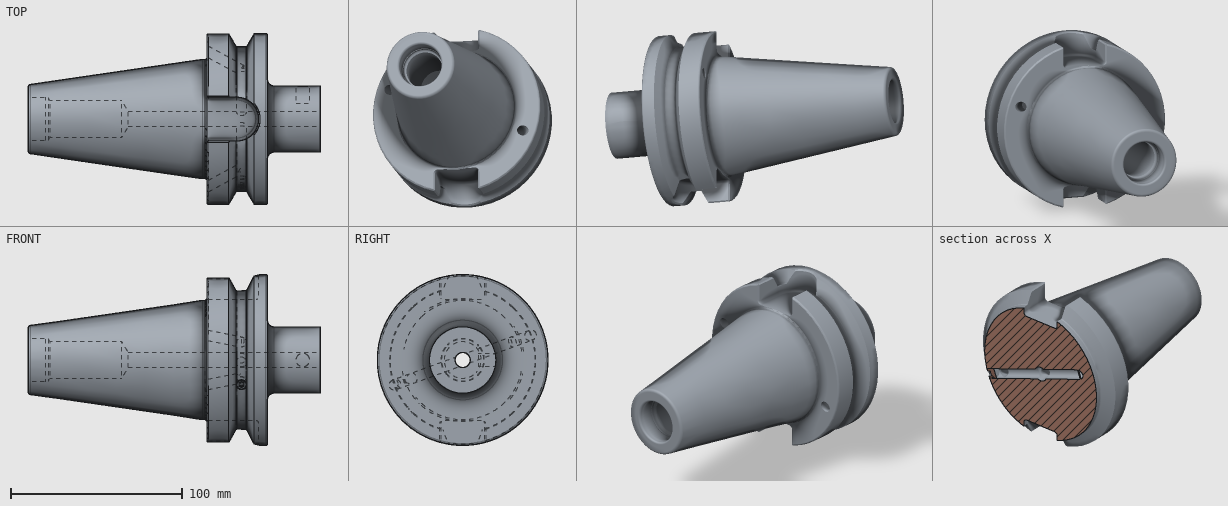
import cadquery as cq
import math

TOTAL_LENGTH = 170.8

GAUGE_X = 101.8
GAUGE_RADIUS = 34.93
TAPER_PER_LENGTH = 7 / 24
TAPER_END_FILLET = 1.7

FLANGE_RADIUS = 49.96
FLANGE_START_X = 104.5
FLANGE_END_X = 139.9
FLANGE_EDGE_ROUND = 1.0
FLANGE_NECK_FILLET = 1.0
GROOVE_FLOOR_RADIUS = 42.4
GROOVE_FLOOR_WIDTH = 6.1
GROOVE_CENTRE_X = 124.7
GROOVE_FLANK_ANGLE = 30.0
GROOVE_FILLET = 0.7

SPIGOT_RADIUS = 19.39
SPIGOT_FILLET = 4.0

PILOT_RADIUS = 12.6
PILOT_DEPTH = 10.2
MOUTH_ROUND = 1.2
RECESS_RADIUS = 12.3
RECESS_LENGTH = 1.5
COUNTERSINK_ANGLE = 120.0
THREAD_RADIUS = 10.8
THREAD_END_X = 54.7
DRILL_POINT_ANGLE = 118.0
COOLANT_BORE_RADIUS = 4.35

SLOT_WIDTH = 25.6
SLOT_END_CENTRE_X = 122.0
SLOT_FLOOR_HEIGHT = 35.4
SLOT_FLOOR_FILLET = 1.7
SLOT_EDGE_CHAMFER = 0.9

OPEN_CHANNEL_ANGLE = 200.0
CLOSED_CHANNEL_ANGLE = OPEN_CHANNEL_ANGLE - 180
CHANNEL_RADIUS = 2.99
INLET_TILT = 30.0
INLET_START_RADIUS = 42.2
INLET_LEAD = 5.1
INLET_RUN = GROOVE_CENTRE_X - FLANGE_START_X
INLET_LENGTH = INLET_RUN / math.cos(math.radians(INLET_TILT))
INLET_END_RADIUS = INLET_START_RADIUS - INLET_RUN * math.tan(math.radians(INLET_TILT))
PLUG_LENGTH = 6.0
PLUG_SINK = 0.2
PLUG_CHAMFER = 0.3
SOCKET_ACROSS_FLATS = 3.0
SOCKET_DEPTH = 2.0

CLAMP_X = 160.5
CLAMP_RADIUS = 4.0
CLAMP_LENGTH = 10.2


def revolve_about_x(profile):
    """Turn an XY profile once around the X axis."""
    return profile.close().revolve(360, (0, 0, 0), (1, 0, 0))


def turned_blank():
    """Taper shank, grooved flange and spigot as one turned shape."""
    small_end_radius = GAUGE_RADIUS - GAUGE_X * TAPER_PER_LENGTH / 2
    groove_depth = FLANGE_RADIUS - GROOVE_FLOOR_RADIUS
    flank_length = groove_depth * math.tan(math.radians(GROOVE_FLANK_ANGLE))
    floor_start_x = GROOVE_CENTRE_X - GROOVE_FLOOR_WIDTH / 2
    floor_end_x = GROOVE_CENTRE_X + GROOVE_FLOOR_WIDTH / 2

    blank = revolve_about_x(
        cq.Workplane("XY")
        .moveTo(0, 0)
        .lineTo(0, small_end_radius)
        .lineTo(GAUGE_X, GAUGE_RADIUS)
        .lineTo(FLANGE_START_X, GAUGE_RADIUS)
        .lineTo(FLANGE_START_X, FLANGE_RADIUS)
        .lineTo(floor_start_x - flank_length, FLANGE_RADIUS)
        .lineTo(floor_start_x, GROOVE_FLOOR_RADIUS)
        .lineTo(floor_end_x, GROOVE_FLOOR_RADIUS)
        .lineTo(floor_end_x + flank_length, FLANGE_RADIUS)
        .lineTo(FLANGE_END_X, FLANGE_RADIUS)
        .lineTo(FLANGE_END_X, SPIGOT_RADIUS)
        .lineTo(TOTAL_LENGTH, SPIGOT_RADIUS)
        .lineTo(TOTAL_LENGTH, 0)
    )

    def outer_ring(x, radius):
        """The circle of this radius on the blank at this place along the axis."""
        reach = 0.09
        size = radius + reach
        rings = cq.selectors.BoxSelector(
            (x - reach, -size, -size), (x + reach, size, size), boundingbox=True
        )
        return blank.edges(rings).edges(cq.selectors.RadiusNthSelector(-1))

    blank = outer_ring(0, small_end_radius).fillet(TAPER_END_FILLET)
    blank = outer_ring(FLANGE_START_X, GAUGE_RADIUS).fillet(FLANGE_NECK_FILLET)
    blank = outer_ring(floor_start_x, GROOVE_FLOOR_RADIUS).fillet(GROOVE_FILLET)
    blank = outer_ring(floor_end_x, GROOVE_FLOOR_RADIUS).fillet(GROOVE_FILLET)
    blank = outer_ring(FLANGE_END_X, FLANGE_RADIUS).fillet(FLANGE_EDGE_ROUND)
    blank = outer_ring(FLANGE_END_X, SPIGOT_RADIUS).fillet(SPIGOT_FILLET)
    return blank


def axial_bore():
    """Round-mouthed pilot, threaded length with a drill point, and coolant bore."""
    half_point = math.radians(DRILL_POINT_ANGLE / 2)
    half_countersink = math.radians(COUNTERSINK_ANGLE / 2)
    point_length = (THREAD_RADIUS - COOLANT_BORE_RADIUS) / math.tan(half_point)
    countersink_length = (RECESS_RADIUS - THREAD_RADIUS) / math.tan(half_countersink)
    recess_end_x = PILOT_DEPTH + RECESS_LENGTH
    round_offset = MOUTH_ROUND * (1 - math.sqrt(0.5))
    return revolve_about_x(
        cq.Workplane("XY")
        .moveTo(0, 0)
        .lineTo(0, PILOT_RADIUS + MOUTH_ROUND)
        .threePointArc(
            (round_offset, PILOT_RADIUS + round_offset),
            (MOUTH_ROUND, PILOT_RADIUS),
        )
        .lineTo(PILOT_DEPTH, PILOT_RADIUS)
        .lineTo(PILOT_DEPTH, RECESS_RADIUS)
        .lineTo(recess_end_x, RECESS_RADIUS)
        .lineTo(recess_end_x + countersink_length, THREAD_RADIUS)
        .lineTo(THREAD_END_X, THREAD_RADIUS)
        .lineTo(THREAD_END_X + point_length, COOLANT_BORE_RADIUS)
        .lineTo(TOTAL_LENGTH, COOLANT_BORE_RADIUS)
        .lineTo(TOTAL_LENGTH, 0)
    )


def drive_slot():
    """Cutter for the +Z drive slot: open at the flange face, round at its far end."""
    open_end_x = FLANGE_START_X
    slot_height = FLANGE_RADIUS + 1.7 - SLOT_FLOOR_HEIGHT
    straight_length = SLOT_END_CENTRE_X - open_end_x
    slot = (
        cq.Workplane("XY", origin=(open_end_x, 0, SLOT_FLOOR_HEIGHT))
        .moveTo(0, -SLOT_WIDTH / 2)
        .lineTo(straight_length, -SLOT_WIDTH / 2)
        .threePointArc(
            (straight_length + SLOT_WIDTH / 2, 0),
            (straight_length, SLOT_WIDTH / 2),
        )
        .lineTo(0, SLOT_WIDTH / 2)
        .close()
        .extrude(slot_height)
    )
    return slot.edges("<Z").edges("not <X").fillet(SLOT_FLOOR_FILLET)


def front_edge_ring():
    """Ring cutter that leaves the front edge of the flange rounded."""
    margin = 1.7
    front_x = FLANGE_START_X - margin
    outer_radius = FLANGE_RADIUS + margin
    round_start_radius = FLANGE_RADIUS - FLANGE_EDGE_ROUND
    round_end_x = FLANGE_START_X + FLANGE_EDGE_ROUND
    return revolve_about_x(
        cq.Workplane("XY")
        .moveTo(front_x, round_start_radius)
        .lineTo(FLANGE_START_X, round_start_radius)
        .radiusArc((round_end_x, FLANGE_RADIUS), FLANGE_EDGE_ROUND)
        .lineTo(round_end_x, outer_radius)
        .lineTo(front_x, outer_radius)
    )


def slot_section(x, width, corner_radius):
    """Closed wire across the axis: the slot floor with its rounded corners and walls."""
    half_width = width / 2
    top_height = FLANGE_RADIUS + 1.7
    corner_height = SLOT_FLOOR_HEIGHT + corner_radius
    flat_half_width = half_width - corner_radius
    return (
        cq.Workplane("YZ", origin=(x, 0, 0))
        .moveTo(-half_width, top_height)
        .lineTo(-half_width, corner_height)
        .radiusArc((-flat_half_width, SLOT_FLOOR_HEIGHT), -corner_radius)
        .lineTo(flat_half_width, SLOT_FLOOR_HEIGHT)
        .radiusArc((half_width, corner_height), -corner_radius)
        .lineTo(half_width, top_height)
        .close()
        .val()
    )


def slot_mouth():
    """Cutter that bevels the walls of the +Z slot where they meet the flange face."""
    outer = slot_section(
        FLANGE_START_X,
        SLOT_WIDTH + 2 * SLOT_EDGE_CHAMFER,
        SLOT_FLOOR_FILLET + SLOT_EDGE_CHAMFER,
    )
    inner = slot_section(FLANGE_START_X + SLOT_EDGE_CHAMFER, SLOT_WIDTH, SLOT_FLOOR_FILLET)
    return cq.Workplane(cq.Solid.makeLoft([outer, inner], True))


def slot_rims(side):
    """Selector of the edges where one slot (side +1 or -1) meets the flange rim."""
    reach = 0.09
    half_width = SLOT_WIDTH / 2
    lowest = math.sqrt(FLANGE_RADIUS**2 - half_width**2)
    return cq.selectors.BoxSelector(
        (FLANGE_START_X, -half_width - reach, side * (lowest - reach)),
        (FLANGE_END_X, half_width + reach, side * (FLANGE_RADIUS + reach)),
        boundingbox=True,
    )


def cut_drive_slots(holder):
    """Cut both slots and bevel their rims and mouths."""
    slot = drive_slot()
    mouth = slot_mouth()
    for side, turn in ((1, 0), (-1, 180)):
        holder = holder.cut(slot.rotate((0, 0, 0), (1, 0, 0), turn))
        holder = holder.edges(slot_rims(side)).chamfer(SLOT_EDGE_CHAMFER)
        holder = holder.cut(mouth.rotate((0, 0, 0), (1, 0, 0), turn))
    return holder


def channel_direction(angle):
    """Unit vector across the axis, pointing out along one coolant channel."""
    turn = math.radians(angle)
    return cq.Vector(0, math.cos(turn), math.sin(turn))


def channel_cutter(angle, outer_end):
    """Inclined inlet from the flange face and the radial passage it runs into."""
    outward = channel_direction(angle)
    tilt = math.radians(INLET_TILT)
    along = cq.Vector(math.cos(tilt), 0, 0) - outward * math.sin(tilt)
    mouth = cq.Vector(FLANGE_START_X, 0, 0) + outward * INLET_START_RADIUS
    inlet = cq.Solid.makeCylinder(
        CHANNEL_RADIUS, INLET_LENGTH + INLET_LEAD, mouth - along * INLET_LEAD, along
    )
    passage = cq.Solid.makeCylinder(
        CHANNEL_RADIUS, outer_end, cq.Vector(GROOVE_CENTRE_X, 0, 0), outward
    )
    return cq.Workplane(inlet.fuse(passage))


def clamp_screw():
    """Plain radial screw whose outer end is flush with the round of the spigot."""
    bottom = cq.Vector(CLAMP_X, SPIGOT_RADIUS - CLAMP_LENGTH, 0)
    screw = cq.Solid.makeCylinder(CLAMP_RADIUS, CLAMP_LENGTH, bottom, cq.Vector(0, 1, 0))
    spigot = cq.Solid.makeCylinder(
        SPIGOT_RADIUS, TOTAL_LENGTH, cq.Vector(0, 0, 0), cq.Vector(1, 0, 0)
    )
    return cq.Workplane(screw).intersect(cq.Workplane(spigot))


def holder_body():
    """Turned holder with its bore, drive slots, coolant channels and screw hole."""
    holder = turned_blank().cut(axial_bore())
    holder = cut_drive_slots(holder).cut(front_edge_ring())
    holder = holder.cut(channel_cutter(OPEN_CHANNEL_ANGLE, FLANGE_RADIUS))
    holder = holder.cut(channel_cutter(CLOSED_CHANNEL_ANGLE, INLET_END_RADIUS))
    return holder.cut(clamp_screw())


def channel_plug():
    """Set screw with a hexagon socket that closes the open channel at the groove."""
    outward = channel_direction(OPEN_CHANNEL_ANGLE)
    top_radius = GROOVE_FLOOR_RADIUS - PLUG_SINK
    top_centre = cq.Vector(GROOVE_CENTRE_X, 0, 0) + outward * top_radius
    top_plane = cq.Plane(top_centre, (1, 0, 0), outward)
    screw = (
        cq.Workplane(top_plane)
        .circle(CHANNEL_RADIUS)
        .extrude(-PLUG_LENGTH)
        .edges("%CIRCLE")
        .chamfer(PLUG_CHAMFER)
    )
    socket = (
        cq.Workplane(top_plane)
        .polygon(6, SOCKET_ACROSS_FLATS, circumscribed=True)
        .extrude(-SOCKET_DEPTH)
    )
    return screw.cut(socket)


holder = holder_body()
plug = channel_plug()
clamp = clamp_screw()

result = cq.Compound.makeCompound([holder.val(), plug.val(), clamp.val()])